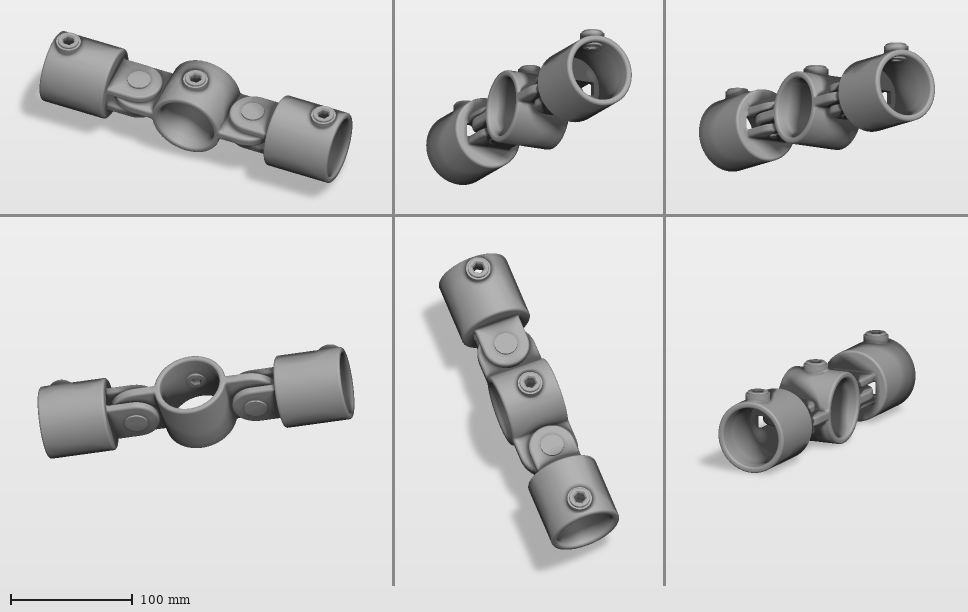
import cadquery as cq
import math

TUBE_R = 30.0
BORE_R = 25.0
EDGE_FILLET = 2.0
RING_LENGTH = 49.0
SOCKET_FACE_X = 71.0
SOCKET_FLOOR = 5.0
SOCKET_LENGTH = 56.0

SIDE_OFFSET_Y = -2.0

PIN_X = 50.0
TONGUE_END_CENTRE_X = 47.0
TONGUE_END_R = RING_LENGTH / 2
TONGUE_THICKNESS = 8.0
EAR_GAP = 11.5
EAR_THICKNESS = 6.9
EAR_R = 19.3
EAR_BASE_FILLET = 1.5
SLOT_WIDTH = 40.0
SLOT_CORNER_R = 1.3
PIN_R = 5.0
PIN_HEAD_R = 9.5
PIN_HEAD_HEIGHT = 1.5
EAR_TOP_Z = EAR_GAP / 2 + EAR_THICKNESS

BOSS_R = 10.2
BOSS_TOP_Z = 34.5
BOSS_FILLET = 1.5
SOCKET_SCREW_X = SOCKET_FACE_X + 41.7
SCREW_R = 8.6
SCREW_TOP_Z = 36.5
SCREW_BOTTOM_Z = 23.4
SCREW_CHAMFER = 0.5
HEX_FLATS = 8.5
HEX_MOUTH_FLATS = 10.7
HEX_MOUTH_DEPTH = 1.3

PICK_MARGIN = 0.3


def cylinder_z(x, y, radius, bottom, top):
    """Upright cylinder at (x, y) between two heights."""
    return cq.Workplane("XY", origin=(x, y, bottom)).circle(radius).extrude(top - bottom)


def add_boss(body, x, y):
    """Join a screw boss to the crown of a tube and round its foot."""
    body = body.union(cylinder_z(x, y, BOSS_R, 0, BOSS_TOP_Z))
    foot_box = cq.selectors.BoxSelector(
        (x - BOSS_R - PICK_MARGIN, y - BOSS_R - PICK_MARGIN, BORE_R),
        (x + BOSS_R + PICK_MARGIN, y + BOSS_R + PICK_MARGIN, BOSS_TOP_Z - BOSS_FILLET),
        boundingbox=True,
    )
    return body.edges(foot_box).fillet(BOSS_FILLET)


def make_ring():
    """Middle ring with a round-ended tongue on both sides."""
    plan = cq.Workplane("XY").box(2 * TONGUE_END_CENTRE_X, RING_LENGTH, 2 * TUBE_R)
    for side in (-1, 1):
        plan = plan.union(cylinder_z(side * TONGUE_END_CENTRE_X, 0, TONGUE_END_R, -TUBE_R, TUBE_R))

    tongue_reach = TONGUE_END_CENTRE_X + TONGUE_END_R
    ring = cq.Workplane("XZ").circle(TUBE_R).extrude(RING_LENGTH / 2, both=True)
    ring = ring.union(cq.Workplane("XY").box(2 * tongue_reach, RING_LENGTH, TONGUE_THICKNESS))
    root_box = cq.selectors.BoxSelector(
        (-TUBE_R, -RING_LENGTH, -TONGUE_THICKNESS),
        (TUBE_R, RING_LENGTH, TONGUE_THICKNESS),
    )
    ring = ring.edges("|Y").edges(root_box).fillet(EDGE_FILLET)
    ring = ring.intersect(plan)
    ring = ring.faces("<Y or >Y").edges().fillet(EDGE_FILLET)

    ring = add_boss(ring, 0, SIDE_OFFSET_Y)
    bore = cq.Workplane("XZ").circle(BORE_R).extrude(RING_LENGTH, both=True)
    ring = ring.cut(bore)
    ring = ring.faces("<Y or >Y").edges(cq.selectors.RadiusNthSelector(1)).fillet(EDGE_FILLET)

    ring = ring.cut(cylinder_z(0, SIDE_OFFSET_Y, SCREW_R, 0, SCREW_TOP_Z))
    for side, y in ((-1, SIDE_OFFSET_Y), (1, 0)):
        ring = ring.cut(cylinder_z(side * PIN_X, y, PIN_R, -EAR_TOP_Z, EAR_TOP_Z))
    return ring


def make_ear(middle_z):
    """Round-ended ear of the right-hand hinge, reaching into the socket floor."""
    root_x = SOCKET_FACE_X + SOCKET_FLOOR / 2
    bottom = middle_z - EAR_THICKNESS / 2
    ear = (
        cq.Workplane("XY", origin=(0, 0, bottom))
        .moveTo(root_x, EAR_R)
        .lineTo(PIN_X, EAR_R)
        .threePointArc((PIN_X - EAR_R, 0), (PIN_X, -EAR_R))
        .lineTo(root_x, -EAR_R)
        .close()
        .extrude(EAR_THICKNESS)
    )
    return ear.edges("not(|Z or >X)").fillet(EDGE_FILLET)


def make_socket():
    """Right-hand socket, closed by a floor that carries the two ears."""
    socket = cq.Workplane("YZ", origin=(SOCKET_FACE_X, 0, 0)).circle(TUBE_R).extrude(SOCKET_LENGTH)
    socket = socket.faces("<X or >X").edges().fillet(EDGE_FILLET)
    for side in (-1, 1):
        socket = socket.union(make_ear(side * (EAR_GAP + EAR_THICKNESS) / 2))
    root_box = cq.selectors.BoxSelector(
        (SOCKET_FACE_X - PICK_MARGIN, -EAR_R - PICK_MARGIN, -EAR_TOP_Z - PICK_MARGIN),
        (SOCKET_FACE_X + PICK_MARGIN, EAR_R + PICK_MARGIN, EAR_TOP_Z + PICK_MARGIN),
        boundingbox=True,
    )
    socket = socket.edges(root_box).fillet(EAR_BASE_FILLET)

    socket = add_boss(socket, SOCKET_SCREW_X, 0)
    bore_end_x = SOCKET_FACE_X + SOCKET_FLOOR
    bore = cq.Workplane("YZ", origin=(bore_end_x, 0, 0)).circle(BORE_R).extrude(SOCKET_LENGTH)
    socket = socket.cut(bore)
    socket = socket.faces(">X").edges(cq.selectors.RadiusNthSelector(0)).fillet(EDGE_FILLET)

    slot = cq.Workplane("XY").box(2 * bore_end_x, SLOT_WIDTH, EAR_GAP)
    slot = slot.edges("|X").fillet(SLOT_CORNER_R)
    socket = socket.cut(slot)
    socket = socket.cut(cylinder_z(SOCKET_SCREW_X, 0, SCREW_R, 0, SCREW_TOP_Z))
    return socket.cut(cylinder_z(PIN_X, 0, PIN_R, -EAR_TOP_Z, EAR_TOP_Z))


def make_pin(x, y):
    """Hinge pin with a flat head on both ears."""
    pin = cylinder_z(x, y, PIN_R, -EAR_TOP_Z, EAR_TOP_Z)
    pin = pin.union(cylinder_z(x, y, PIN_HEAD_R, EAR_TOP_Z, EAR_TOP_Z + PIN_HEAD_HEIGHT))
    return pin.union(cylinder_z(x, y, PIN_HEAD_R, -EAR_TOP_Z - PIN_HEAD_HEIGHT, -EAR_TOP_Z))


def make_set_screw(x, y):
    """Set screw with chamfered ends and a hexagon through it that flares at the top."""
    flats_to_corners = 1 / math.cos(math.pi / 6)
    screw = cylinder_z(x, y, SCREW_R, SCREW_BOTTOM_Z, SCREW_TOP_Z).edges().chamfer(SCREW_CHAMFER)
    hexagon = (
        cq.Workplane("XY", origin=(x, y, SCREW_BOTTOM_Z))
        .polygon(6, HEX_FLATS * flats_to_corners)
        .extrude(SCREW_TOP_Z - SCREW_BOTTOM_Z)
    )
    mouth = (
        cq.Workplane("XY", origin=(x, y, SCREW_TOP_Z - HEX_MOUTH_DEPTH))
        .polygon(6, HEX_FLATS * flats_to_corners)
        .workplane(offset=HEX_MOUTH_DEPTH)
        .polygon(6, HEX_MOUTH_FLATS * flats_to_corners)
        .loft()
    )
    return screw.cut(hexagon).cut(mouth)


ring = make_ring()

right_socket = make_socket()
left_socket = right_socket.mirror("YZ").translate((0, SIDE_OFFSET_Y, 0))

pins = [make_pin(x, y).val() for x, y in ((-PIN_X, SIDE_OFFSET_Y), (PIN_X, 0))]

screw_places = (
    (-SOCKET_SCREW_X, SIDE_OFFSET_Y),
    (0, SIDE_OFFSET_Y),
    (SOCKET_SCREW_X, 0),
)
set_screws = [make_set_screw(x, y).val() for x, y in screw_places]

result = cq.Compound.makeCompound(
    [ring.val(), left_socket.val(), right_socket.val(), *pins, *set_screws]
)